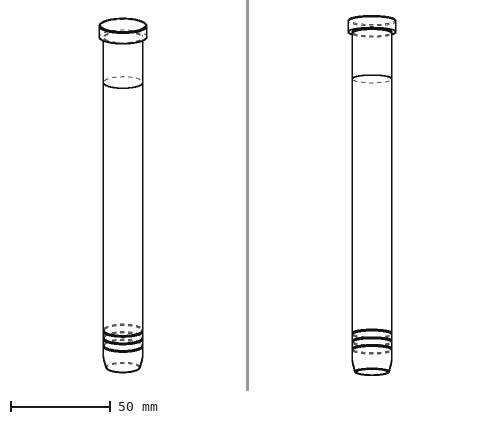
import cadquery as cq

total_length = 180.0
head_diameter = 24.0
head_height = 6.1
head_chamfer = 0.5
shank_diameter = 20.0
undercut_width = 0.5
undercut_depth = 0.2

upper_length = 30.0

tip_height = 6.3
tip_end_radius = 8.5
tip_bulge = 0.2
tip_edge_chamfer = 0.4

groove_count = 3
groove_pitch = 4.0
first_groove_height = 11.7
groove_width = 0.7
groove_depth = 0.4

shank_radius = shank_diameter / 2
joint_height = total_length - upper_length


def make_headed_piece():
    """Upper piece: plain shank with a chamfered head and an undercut neck."""
    head_bottom = total_length - head_height
    shank = cq.Workplane("XY").workplane(offset=joint_height).circle(shank_radius)
    shank = shank.extrude(upper_length - head_height)
    head = cq.Workplane("XY").workplane(offset=head_bottom).circle(head_diameter / 2)
    head = head.extrude(head_height).faces(">Z").edges().chamfer(head_chamfer)
    undercut = make_ring(head_bottom - undercut_width, head_bottom, shank_radius - undercut_depth)
    return shank.union(head).cut(undercut)


def make_ring(lower, upper, inner_radius):
    """Square-section ring from the inner radius out to the shank surface."""
    ring = cq.Workplane("XY").workplane(offset=lower).circle(shank_radius).circle(inner_radius)
    return ring.extrude(upper - lower)


def make_groove(height):
    """Ring with a V-shaped section, centred on the given height."""
    lower = height - groove_width / 2
    upper = height + groove_width / 2
    return (
        cq.Workplane("XZ")
        .moveTo(shank_radius, lower)
        .lineTo(shank_radius - groove_depth, height)
        .lineTo(shank_radius, upper)
        .close()
        .revolve(360, (0, 0, 0), (0, 1, 0))
    )


def make_shaft():
    """Lower shaft: cylinder with a rounded tip and lubrication grooves."""
    flank_middle = ((tip_end_radius + shank_radius) / 2 + tip_bulge, tip_height / 2)
    shaft = (
        cq.Workplane("XZ")
        .lineTo(tip_end_radius, 0)
        .threePointArc(flank_middle, (shank_radius, tip_height))
        .lineTo(shank_radius, joint_height)
        .lineTo(0, joint_height)
        .close()
        .revolve(360, (0, 0, 0), (0, 1, 0))
        .faces("<Z")
        .edges()
        .chamfer(tip_edge_chamfer)
    )
    for index in range(groove_count):
        shaft = shaft.cut(make_groove(first_groove_height + index * groove_pitch))
    return shaft


headed_piece = make_headed_piece()
shaft = make_shaft()
result = cq.Compound.makeCompound([headed_piece.val(), shaft.val()])